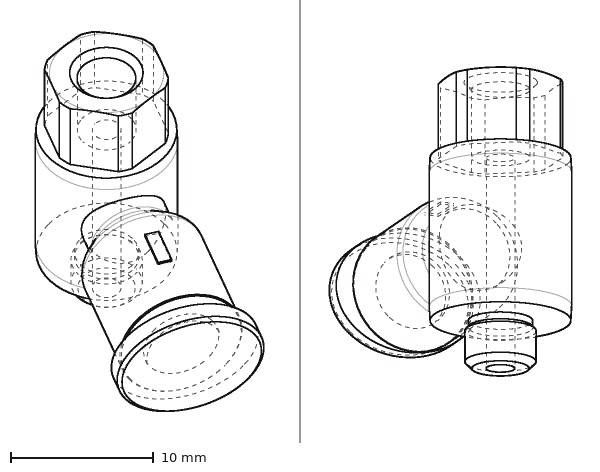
import cadquery as cq
import math


overall_length = 24.5
overall_height = 20.8

stud_radius = 2.5
stud_tip_chamfer = 0.5
stud_neck_radius = 2.25
stud_shoulder_height = 2.75
body_bottom = 3.48

body_radius = 5.0
body_height = 11.83
body_top = body_bottom + body_height
band_height = 1.03
band_taper = 0.061

hex_flats = 8.0
hex_turned_radius = 4.35
hex_height = overall_height - body_top
hex_top_radius = hex_flats / 2
hex_top_drop = 0.1

socket_radius = 2.05
socket_chamfer = 0.51
socket_depth = hex_height
through_radius = 1.0

branch_height = 10.1
branch_neck_diameter = 6.2
branch_neck_radius = branch_neck_diameter / 2
branch_diameter = 9.0
branch_radius = branch_diameter / 2
neck_length = 6.03
blend_radius = 1.0
blend_angle = math.radians(38)
branch_end = 17.05
branch_edge_chamfer = 0.07

collar_stem_radius = 2.77
collar_root_radius = 0.12
collar_start = 17.88
collar_end = overall_length - body_radius
collar_width = 10.8
collar_height = 8.65
collar_chamfer = 0.27

pad_start = 10.4
pad_length = 3.0
pad_width = 1.0
pad_rise = 0.15


def make_column():
    """Stud and banjo body, turned about the Z axis."""
    band_radius = body_radius - band_taper
    shoulder_chamfer = stud_radius - stud_neck_radius
    outline = [
        (0, 0),
        (stud_radius - stud_tip_chamfer, 0),
        (stud_radius, stud_tip_chamfer),
        (stud_radius, stud_shoulder_height),
        (stud_neck_radius, stud_shoulder_height + shoulder_chamfer),
        (stud_neck_radius, body_bottom),
        (band_radius, body_bottom),
        (body_radius, body_bottom + band_height),
        (body_radius, body_top - band_height),
        (band_radius, body_top),
        (0, body_top),
    ]
    return cq.Workplane("XZ").polyline(outline).close().revolve(360, (0, 0), (0, 1))


def make_hex_head():
    """Hexagonal head with flats facing +Y and -Y, its corners turned and its top edge coned."""
    hexagon = (
        cq.Workplane("XY")
        .workplane(offset=body_top)
        .polygon(6, hex_flats / math.cos(math.pi / 6))
        .extrude(hex_height)
    )
    turned_outline = [
        (0, body_top),
        (hex_turned_radius, body_top),
        (hex_turned_radius, overall_height - hex_top_drop),
        (hex_top_radius, overall_height),
        (0, overall_height),
    ]
    turned = cq.Workplane("XZ").polyline(turned_outline).close().revolve(360, (0, 0), (0, 1))
    return hexagon.intersect(turned)


def make_branch():
    """Neck, flared shoulder, tube sleeve and collar stem with a root fillet, turned about the branch axis."""
    blend_run = blend_radius * math.sin(blend_angle)
    blend_rise = blend_radius * (1 - math.cos(blend_angle))
    half_run = blend_radius * math.sin(blend_angle / 2)
    half_rise = blend_radius * (1 - math.cos(blend_angle / 2))
    cone_rise = branch_radius - branch_neck_radius - 2 * blend_rise
    cone_start = neck_length + blend_run
    cone_end = cone_start + cone_rise / math.tan(blend_angle)
    sleeve_start = cone_end + blend_run
    profile = (
        cq.Workplane("XZ")
        .lineTo(0, branch_neck_radius)
        .lineTo(neck_length, branch_neck_radius)
        .threePointArc(
            (neck_length + half_run, branch_neck_radius + half_rise),
            (cone_start, branch_neck_radius + blend_rise),
        )
        .lineTo(cone_end, branch_radius - blend_rise)
        .threePointArc(
            (sleeve_start - half_run, branch_radius - half_rise),
            (sleeve_start, branch_radius),
        )
        .lineTo(branch_end - branch_edge_chamfer, branch_radius)
        .lineTo(branch_end, branch_radius - branch_edge_chamfer)
        .lineTo(branch_end, collar_stem_radius)
        .lineTo(collar_start - collar_root_radius, collar_stem_radius)
        .radiusArc((collar_start, collar_stem_radius + collar_root_radius), -collar_root_radius)
        .lineTo(collar_start, 0)
        .close()
    )
    return profile.revolve(360, (0, 0), (1, 0)).translate((0, 0, branch_height))


def make_collar():
    """Oval release collar, chamfered on its outer face."""
    return (
        cq.Workplane("YZ", origin=(collar_start, 0, branch_height))
        .ellipse(collar_width / 2, collar_height / 2)
        .extrude(collar_end - collar_start)
        .faces(">X")
        .edges()
        .chamfer(collar_chamfer)
    )


def make_pad():
    """Raised rectangular pad, sunk to the branch axis so that it joins the sleeve."""
    return cq.Workplane("XY").box(
        pad_length, pad_width, branch_radius + pad_rise, centered=(False, True, False)
    ).translate((pad_start, 0, branch_height))


def make_bore():
    """Chamfered socket in the head, followed by a narrow hole out through the stud."""
    socket_floor = overall_height - socket_depth
    outline = [
        (0, 0),
        (through_radius, 0),
        (through_radius, socket_floor),
        (socket_radius, socket_floor),
        (socket_radius, overall_height - socket_chamfer),
        (socket_radius + socket_chamfer, overall_height),
        (0, overall_height),
    ]
    return cq.Workplane("XZ").polyline(outline).close().revolve(360, (0, 0), (0, 1))


result = (
    make_column()
    .union(make_hex_head())
    .union(make_branch())
    .union(make_collar())
    .union(make_pad())
    .cut(make_bore())
)